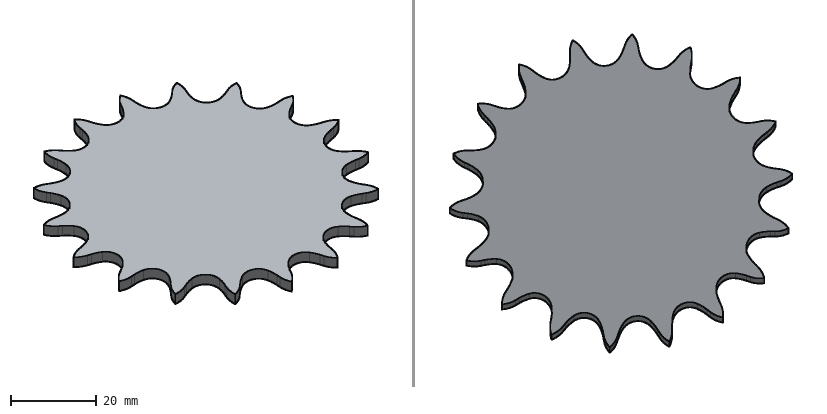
import cadquery as cq
import math


tooth_count = 18
tip_radius = 40.5
pitch_radius = 36.6
roller_diameter = 7.95
seat_radius = 4.05
topping_radius = 6.6
thickness = 3.0

half_pitch_angle = math.pi / tooth_count
seat_angle = math.radians(35 + 60 / tooth_count)
working_angle = math.radians(18 - 56 / tooth_count)
working_center_offset = 0.8 * roller_diameter
working_radius = seat_radius + working_center_offset


def polar(center, radius, angle):
    """Point at the given radius and angle around a center."""
    return (center[0] + radius * math.cos(angle), center[1] + radius * math.sin(angle))


def half_gap_points():
    """Points on the right half of the tooth gap centered on +Y, from root to tip."""
    seat_center = (0, pitch_radius)
    root = (0, pitch_radius - seat_radius)
    seat_end = polar(seat_center, seat_radius, -seat_angle)

    working_center = polar(seat_center, -working_center_offset, -seat_angle)
    flank_angle = working_angle - seat_angle
    working_middle = polar(working_center, working_radius, flank_angle - working_angle / 2)
    flank_start = polar(working_center, working_radius, flank_angle)

    tip = polar((0, 0), tip_radius, math.pi / 2 - half_pitch_angle)
    tip_dx = tip[0] - flank_start[0]
    tip_dy = tip[1] - flank_start[1]
    tip_inset = tip_dx * math.cos(flank_angle) + tip_dy * math.sin(flank_angle)
    tip_along = tip_dy * math.cos(flank_angle) - tip_dx * math.sin(flank_angle)
    topping_sweep = math.acos(1 - tip_inset / topping_radius)
    flank_length = tip_along - topping_radius * math.sin(topping_sweep)
    flank_end = polar(flank_start, flank_length, flank_angle + math.pi / 2)
    topping_center = polar(flank_end, topping_radius, flank_angle)
    topping_middle = polar(topping_center, -topping_radius, flank_angle - topping_sweep / 2)
    return (root, seat_end, working_middle, flank_start, flank_end, topping_middle, tip)


def mirrored(point):
    return (-point[0], point[1])


def rotated(point, angle):
    """Point turned counterclockwise about the sprocket axis."""
    return (
        point[0] * math.cos(angle) - point[1] * math.sin(angle),
        point[0] * math.sin(angle) + point[1] * math.cos(angle),
    )


def sprocket_outline():
    """Closed outline running counterclockwise, one tooth gap after another."""
    (root, seat_end, working_middle, flank_start,
     flank_end, topping_middle, tip) = half_gap_points()
    outline = cq.Workplane("XY").moveTo(*rotated(tip, half_pitch_angle))
    for gap in range(tooth_count):
        turn = (2 * gap + 1) * half_pitch_angle
        outline = (
            outline
            .threePointArc(rotated(topping_middle, turn), rotated(flank_end, turn))
            .lineTo(*rotated(flank_start, turn))
            .threePointArc(rotated(working_middle, turn), rotated(seat_end, turn))
            .threePointArc(rotated(root, turn), rotated(mirrored(seat_end), turn))
            .threePointArc(
                rotated(mirrored(working_middle), turn), rotated(mirrored(flank_start), turn)
            )
            .lineTo(*rotated(mirrored(flank_end), turn))
            .threePointArc(rotated(mirrored(topping_middle), turn), rotated(mirrored(tip), turn))
        )
    return outline.close()


result = sprocket_outline().extrude(thickness)